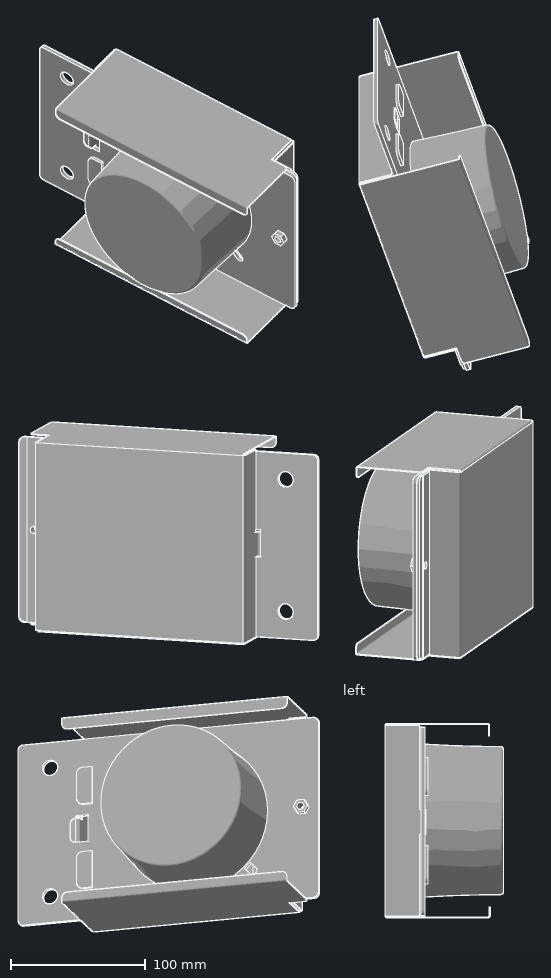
import cadquery as cq
import math


plate_length = 234.0
plate_height = 140.2
plate_thick = 3.0
plate_drop = 0.7
plate_left_radius = 3.7
plate_right_radius = 4.2
mount_hole_dia = 11.7
mount_hole_x = -92.0
mount_hole_spacing = 100.0
mount_hole_drop = 0.35

sheet = 0.8
bend_radius = 1.6
back_y = 29.7
housing_height = 144.4
cover_left = -67.6
cover_right = 107.9
notch_left = 93.1
notch_front = 3.7
notch_corner_radius = 2.8
top_cover_front = -48.0
bottom_cover_front = -48.5
top_lip = 9.4
bottom_lip = 8.0
lip_radius = 4.2
side_left = -69.0
side_right = 95.5
side_height = 141.8
left_side_front = 4.2

spacer_left = 65.3
spacer_right = 116.3
spacer_thick = 1.9
spacer_height = 140.0
spacer_radius = 5.0
flange_right = 109.7
flange_back = plate_thick + spacer_thick + sheet

slot_left = -72.3
slot_right = -62.2
slot_half_height = 10.3
hook_left = -76.0
hook_top = 8.2
hook_radius = 3.7

pad_left = -71.0
pad_right = -58.7
pad_height = 28.3
pad_center_z = 32.8
pad_thick = 2.0
pad_radius = 5.0

drum_x = 20.5
drum_base_radius = 56.9
drum_face_radius = 55.0
drum_depth = 58.3
drum_round = 2.0

pointer_inner = 58.0
pointer_outer = 67.5
pointer_width = 6.0
pointer_angle = 45.0

nut_x = 104.4
nut_flats = 9.5
nut_thick = 4.2
nut_bore = 5.4

overlap = 2.3


def block(x_range, y_range, z_range):
    """Box between the given limits."""
    size = [high - low for low, high in (x_range, y_range, z_range)]
    corner = (x_range[0], y_range[0], z_range[0])
    return cq.Workplane("XY").box(*size, centered=False).translate(corner)


def rod(x, z, diameter, front, back):
    """Cylinder along Y."""
    disc = cq.Workplane("XZ", origin=(x, front, z)).circle(diameter / 2)
    return disc.extrude(front - back)


def make_plate():
    bottom = -plate_drop - plate_height / 2
    top = bottom + plate_height
    plate = block((-plate_length / 2, plate_length / 2), (0, plate_thick), (bottom, top))
    plate = plate.edges("|Y and <X").fillet(plate_left_radius)
    plate = plate.edges("|Y and >X").fillet(plate_right_radius)
    for side in (1, -1):
        hole_z = side * mount_hole_spacing / 2 - mount_hole_drop
        plate = plate.cut(rod(mount_hole_x, hole_z, mount_hole_dia, -overlap, plate_thick + overlap))
    slot = block(
        (slot_left, slot_right),
        (-overlap, plate_thick + overlap),
        (-slot_half_height, slot_half_height),
    )
    return plate.cut(slot).cut(make_pointer_cutter())


def make_pointer_cutter():
    end_radius = pointer_width / 2
    straight_end = pointer_outer - end_radius
    outline = (
        cq.Workplane("XZ", origin=(0, -overlap, 0))
        .moveTo(pointer_inner, -end_radius)
        .lineTo(straight_end, -end_radius)
        .threePointArc((pointer_outer, 0), (straight_end, end_radius))
        .lineTo(pointer_inner, end_radius)
        .close()
    )
    cutter = outline.extrude(-plate_thick - 2 * overlap)
    return cutter.rotate((0, 0, 0), (0, 1, 0), pointer_angle).translate((drum_x, 0, 0))


def make_top_cover(front, lip):
    """Upper half of the back, the top wall and its front lip, folded from one sheet."""
    top = housing_height / 2
    outside = block((cover_left, cover_right), (front, back_y), (0, top))
    outside = outside.edges("|X and >Z").fillet(bend_radius)
    inside = block(
        (cover_left - overlap, cover_right + overlap),
        (front + sheet, back_y - sheet),
        (-overlap, top - sheet),
    )
    inside = inside.edges("|X and >Z").fillet(bend_radius - sheet)
    cover = outside.cut(inside)

    below_lip = block(
        (cover_left - overlap, cover_right + overlap),
        (front - overlap, front + 2 * sheet),
        (-overlap, top - lip),
    )
    cover = cover.cut(below_lip)
    lip_corners = cq.selectors.BoxSelector(
        (cover_left - overlap, front - overlap, top - lip - sheet),
        (cover_right + overlap, front + overlap, top - lip + sheet),
    )
    cover = cover.edges("|Y").edges(lip_corners).fillet(lip_radius)

    notch = block(
        (notch_left, cover_right + overlap),
        (notch_front, back_y + overlap),
        (-overlap, top + overlap),
    )
    cover = cover.cut(notch)
    return cover.edges("|Z").edges(">X").edges(">Y").fillet(notch_corner_radius)


def make_covers():
    upper = make_top_cover(top_cover_front, top_lip)
    lower = make_top_cover(bottom_cover_front, bottom_lip).mirror("XY")
    return upper.union(lower)


def make_sides():
    """Left side, back and right side as one channel, with the flange turned out to the right."""
    z_range = (-side_height / 2, side_height / 2)
    flange_front = flange_back - sheet
    channel = block((side_left, side_right), (left_side_front, back_y), z_range)
    channel = channel.edges("|Z and >Y").fillet(bend_radius)
    hollow = block(
        (side_left + sheet, side_right - sheet),
        (left_side_front - overlap, back_y - sheet),
        (z_range[0] - overlap, z_range[1] + overlap),
    )
    hollow = hollow.edges("|Z and >Y").fillet(bend_radius - sheet)
    trim = block(
        (side_right - 2 * sheet, side_right + overlap),
        (left_side_front - overlap, flange_front),
        (z_range[0] - overlap, z_range[1] + overlap),
    )
    flange = block(
        (side_right - sheet, flange_right),
        (flange_front, flange_back),
        (-spacer_height / 2, spacer_height / 2),
    )
    return channel.cut(hollow).cut(trim).union(flange)


def make_spacer():
    spacer = block(
        (spacer_left, spacer_right),
        (plate_thick, plate_thick + spacer_thick),
        (-spacer_height / 2, spacer_height / 2),
    )
    return spacer.edges("|Y and >X").fillet(spacer_radius)


def make_hook():
    """Tab that continues the left side through the slot and folds flat on the plate."""
    z_range = (-slot_half_height, hook_top)
    hook_right = side_left + sheet
    tongue = block((hook_left, hook_right), (-sheet, 0), z_range)
    tongue = tongue.edges("|Y and <X").fillet(hook_radius)
    stem = block((side_left, hook_right), (-sheet, left_side_front), z_range)
    hook = tongue.union(stem)
    hook = hook.edges("|Z").edges(">X").edges("<Y").fillet(bend_radius)
    inner_corner = cq.selectors.NearestToPointSelector((side_left, 0, (hook_top - slot_half_height) / 2))
    return hook.edges("|Z").edges(inner_corner).fillet(bend_radius - sheet)


def make_pad(center_z):
    pad = block(
        (pad_left, pad_right),
        (-pad_thick, 0),
        (center_z - pad_height / 2, center_z + pad_height / 2),
    )
    return pad.edges("|Y and <X").fillet(pad_radius)


def make_drum():
    base = cq.Workplane("XZ", origin=(drum_x, 0, 0)).circle(drum_base_radius)
    drum = base.workplane(offset=drum_depth).circle(drum_face_radius).loft()
    return drum.faces("<Y").edges().fillet(drum_round)


def make_nut():
    across_corners = nut_flats / math.cos(math.pi / 6)
    return cq.Workplane("XZ", origin=(nut_x, 0, 0)).polygon(6, across_corners).extrude(nut_thick)


result = make_plate().union(make_spacer()).union(make_sides()).union(make_covers())
result = result.union(make_hook()).union(make_drum()).union(make_nut())
for pad_z in (pad_center_z, -pad_center_z):
    result = result.union(make_pad(pad_z))
result = result.cut(rod(nut_x, 0, nut_bore, -nut_thick - overlap, flange_back + overlap))